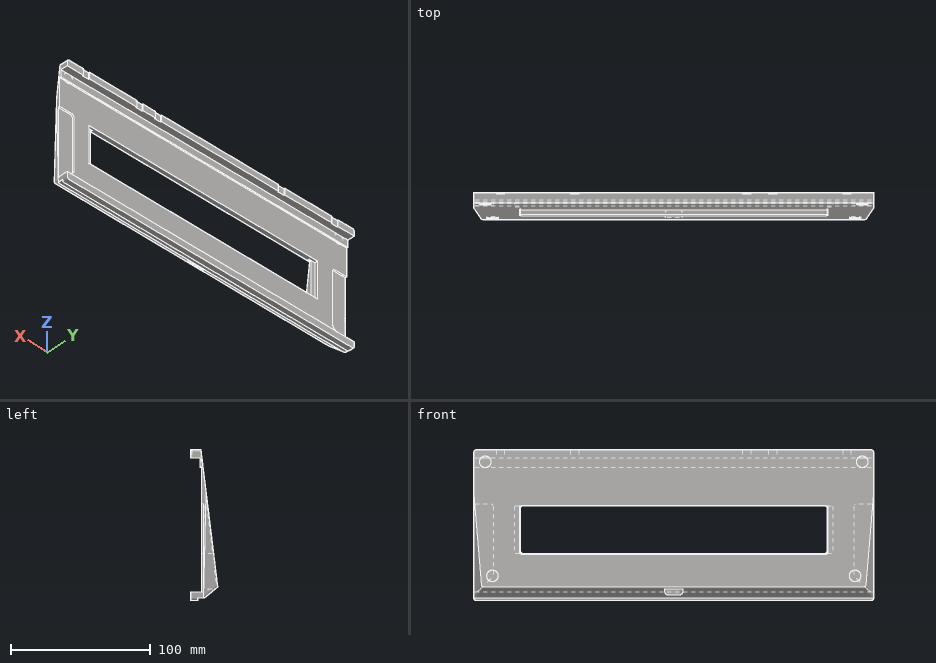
import cadquery as cq
import math

width = 286.5
depth = 19.5
height = 108.0
corner_radius = 2.0

wedge_back = 11.7
top_bar_back = 13.0
top_bar_bottom = 95.5
upper_flange_bottom = 102.0
lower_flange_top = 6.3
lip_front = 14.3
lip_height = 1.7
chin_back = 9.7
nose_height = 9.7
face_depth = 12.0
face_angle = math.atan2(face_depth, height - nose_height)

end_slope = 0.57
end_slope_start_low = 10.3
end_slope_start_high = 7.7
chin_corner_radius = 2.0

window_width = 219.7
window_bottom = 33.8
window_top = 68.0
window_radius = 2.0
window_chamfer = 0.72

window_relief_front = 9.2
window_relief_width = 4.0

foot_diameter = 8.3
foot_depth = 1.0
upper_foot_x, upper_foot_z = 135.0, 99.5
lower_foot_x, lower_foot_z = 129.8, 17.8

slot_width = 13.2
slot_depth = 7.0
slot_back = 7.2
slot_top = 8.3

end_recess_front = 10.3
end_recess_bottom = 6.3
end_recess_top = 69.3
end_recess_width = 14.3
end_recess_bevel = 11.5
end_recess_radius = 2.5

notch_width = 6.0
notch_depth = 1.0
notch_positions = (-124.0, -70.8, 52.0, 70.8, 124.0)


def face_plane(x, z):
    """Plane on the sloping face at a given place, with its normal pointing into the part."""
    y = (z - nose_height) * math.tan(face_angle)
    inward = (0, math.cos(face_angle), -math.sin(face_angle))
    return cq.Plane(origin=(x, y, z), xDir=(1, 0, 0), normal=inward)


def profile_body():
    """Side profile extruded over the full width."""
    outline = [
        (depth, 0),
        (lip_front, 0),
        (lip_front, lip_height),
        (chin_back, lip_height),
        (0, nose_height),
        (face_depth, height),
        (depth, height),
        (depth, upper_flange_bottom),
        (top_bar_back, upper_flange_bottom),
        (top_bar_back, top_bar_bottom),
        (wedge_back, top_bar_bottom),
        (wedge_back, lower_flange_top),
        (depth, lower_flange_top),
    ]
    return cq.Workplane("YZ").polyline(outline).close().extrude(width / 2, both=True)


def plan_outline(slope_start):
    """Plan of the part whose ends lean inwards in front of slope_start."""
    half = width / 2
    front_half = half - end_slope * slope_start
    return [
        (-half, depth),
        (-half, slope_start),
        (-front_half, 0),
        (front_half, 0),
        (half, slope_start),
        (half, depth),
    ]


def leaning_ends():
    """Block between the two leaning ends."""
    return (
        cq.Workplane("XY")
        .polyline(plan_outline(end_slope_start_low))
        .close()
        .workplane(offset=height)
        .polyline(plan_outline(end_slope_start_high))
        .close()
        .loft(ruled=True)
    )


def front_limit():
    """Front outline with rounded corners."""
    block = cq.Workplane("XY").box(width, depth, height, centered=(True, False, False))
    return block.edges("|Y").fillet(corner_radius)


def chin_corner(side):
    """Selects the edge where the chin meets a leaning end; side is -1 or 1."""
    end = side * width / 2
    inset = end - side * end_slope * chin_back
    margin = 1.0
    return cq.selectors.BoxSelector(
        (inset, margin, lip_height + margin),
        (end, chin_back - margin, nose_height - margin),
    )


def window():
    """Opening along Y with a chamfer that follows the sloping face."""
    middle = (window_bottom + window_top) / 2
    window_height = window_top - window_bottom
    opening = (
        cq.Workplane("XZ", origin=(0, 0, middle))
        .rect(window_width, window_height)
        .extrude(-depth)
        .edges("|Y")
        .fillet(window_radius)
    )
    chamfer = (
        cq.Workplane(face_plane(0, window_top))
        .sketch()
        .rect(window_width + 2 * window_chamfer, 2 * (window_height / math.cos(face_angle) + window_chamfer))
        .vertices()
        .fillet(window_radius)
        .finalize()
        .extrude(window_chamfer, taper=45)
    )
    below_top = cq.Workplane("XY").box(width, 2 * depth, window_top, centered=(True, True, False))
    return opening.union(chamfer.intersect(below_top))


def window_relief():
    """Rear recess that makes the window wider behind its thin end walls."""
    relief_width = window_width + 2 * window_relief_width
    return cq.Workplane("XY", origin=(0, window_relief_front, window_bottom)).box(
        relief_width,
        depth,
        window_top - window_bottom,
        centered=(True, False, False),
    )


def foot_recess(x, z):
    """Shallow round recess square to the sloping face."""
    return cq.Workplane(face_plane(x, z)).circle(foot_diameter / 2).extrude(foot_depth)


def chin_slot():
    return (
        cq.Workplane("XY", origin=(0, slot_back - slot_depth / 2, 0))
        .slot2D(slot_width, slot_depth)
        .extrude(slot_top)
    )


def end_recess(side):
    """Recess at one end, open to the rear and to the end; side is -1 or 1."""
    outer = side * width / 2
    inner = outer - side * end_recess_width
    bevel_foot = (inner + side * end_recess_bevel, end_recess_bottom)
    bevel_head = (inner, end_recess_bottom + end_recess_bevel)
    upper_corner = (inner, end_recess_top)
    outline = [(outer, end_recess_bottom), bevel_foot, bevel_head, upper_corner, (outer, end_recess_top)]
    recess = cq.Workplane("XZ", origin=(0, end_recess_front, 0)).polyline(outline).close()
    recess = recess.extrude(end_recess_front - wedge_back)
    middle = (end_recess_front + wedge_back) / 2
    for x, z in (bevel_foot, bevel_head, upper_corner):
        corner = cq.selectors.NearestToPointSelector((x, middle, z))
        recess = recess.edges("|Y").edges(corner).fillet(end_recess_radius)
    return recess


def flange_notch(x):
    z_middle = (upper_flange_bottom + height) / 2
    return cq.Workplane("XY", origin=(x, depth, z_middle)).box(
        notch_width, 2 * notch_depth, height - upper_flange_bottom
    )


result = profile_body().intersect(leaning_ends()).intersect(front_limit())
result = result.edges(chin_corner(-1) + chin_corner(1)).fillet(chin_corner_radius)
result = result.cut(window()).cut(window_relief()).cut(chin_slot())
for side in (-1, 1):
    result = result.cut(foot_recess(side * upper_foot_x, upper_foot_z))
    result = result.cut(foot_recess(side * lower_foot_x, lower_foot_z))
    result = result.cut(end_recess(side))
for x in notch_positions:
    result = result.cut(flange_notch(x))